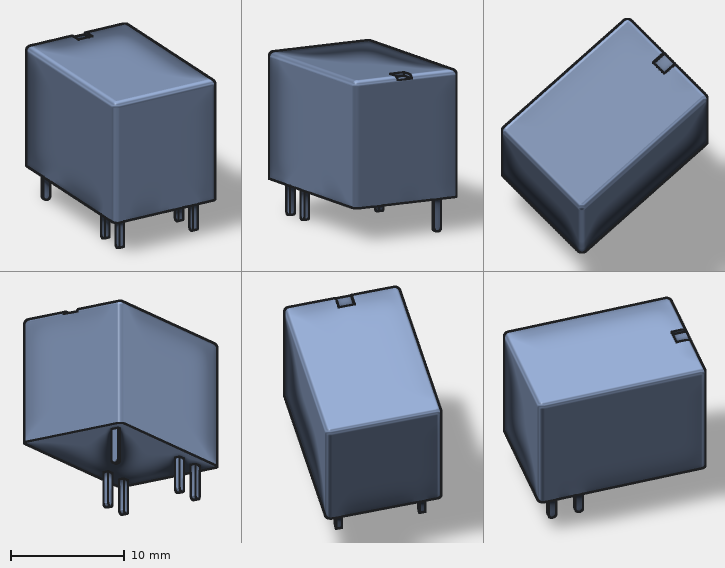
import cadquery as cq

LENGTH = 15.6
WIDTH = 10.61
OVERALL_HEIGHT = 14.7
PIN_LENGTH = 3.2
HOUSING_HEIGHT = OVERALL_HEIGHT - PIN_LENGTH
EDGE_RADIUS = 0.5

NOTCH_LENGTH = 1.42
NOTCH_WIDTH = 1.44
NOTCH_DEPTH = 0.33
NOTCH_Y = 0.19

PIN_WIDTH = 0.7
COIL_PIN_THICKNESS = 0.33
CONTACT_PIN_THICKNESS = 0.5
PIN_ROW_Y = 3.8
COIL_PIN_X = -6.49
CONTACT_PIN_XS = (3.67, 6.16)
PIN_EMBED = 0.15


def make_housing():
    """Block with rounded upright and top edges and a sharp underside."""
    block = cq.Workplane("XY").box(LENGTH, WIDTH, HOUSING_HEIGHT, centered=(True, True, False))
    return block.edges("|Z or >Z").fillet(EDGE_RADIUS)


def make_notch():
    """Cutter for the notch, open at the top and at the -X end."""
    cutter = cq.Workplane("XY").box(NOTCH_LENGTH, NOTCH_WIDTH, NOTCH_DEPTH, centered=(False, True, False))
    return cutter.translate((-LENGTH / 2, NOTCH_Y, HOUSING_HEIGHT - NOTCH_DEPTH))


def make_pin(plane, thickness):
    """Pin hanging below Z = 0, its rounded outline drawn in the given upright plane."""
    half_width = PIN_WIDTH / 2
    tip_start = half_width - PIN_LENGTH
    outline = (
        cq.Workplane(plane)
        .moveTo(-half_width, PIN_EMBED)
        .lineTo(-half_width, tip_start)
        .threePointArc((0, -PIN_LENGTH), (half_width, tip_start))
        .lineTo(half_width, PIN_EMBED)
        .close()
    )
    return outline.extrude(thickness / 2, both=True)


result = make_housing().cut(make_notch())

coil_pin = make_pin("YZ", COIL_PIN_THICKNESS)
result = result.union(coil_pin.translate((COIL_PIN_X, -PIN_ROW_Y, 0)))

contact_pin = make_pin("XZ", CONTACT_PIN_THICKNESS)
for pin_x in CONTACT_PIN_XS:
    for pin_y in (-PIN_ROW_Y, PIN_ROW_Y):
        result = result.union(contact_pin.translate((pin_x, pin_y, 0)))